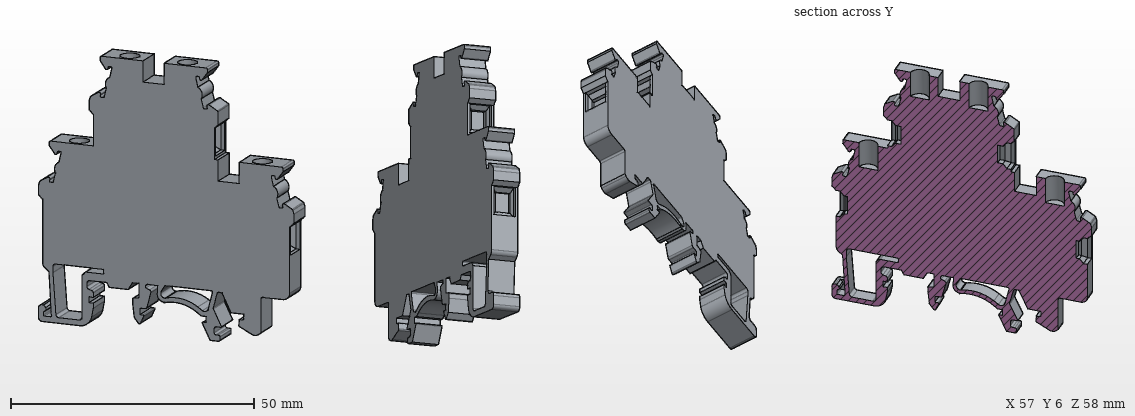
import cadquery as cq
import math

length = 57.0
height = 58.0
thickness = 6.0

lower_top = 38.7
foot_plane = 10.45
wall_half = 27.55
upper_wall_left = -16.25
upper_wall_right = 10.8
upper_tip_left = -14.75
upper_tip_right = 9.2
bulge_reach = 2.45
lower_tip_half = length / 2 - bulge_reach

slot_width = 4.7
slot_depth = 4.5
upper_slot_left = -5.15
lower_slot_left = 11.6

screw_diameter = 4.1
screw_depth = 5.8
screw_y = -0.375
lower_screw_x = 20.4
upper_screw_xs = (-9.15, 3.7)

holder_height = 12.65
mouth_width = 4.9
mouth_height = 6.1
mouth_depth = 0.85
funnel_depth = 0.85
funnel_inset = 1.0
throat_width = 3.3
throat_height = mouth_height - 2 * funnel_inset
lower_throat_length = 0.7
upper_throat_length = 1.15

hook_top = 3.6
web_thickness = 0.9


def rounded_outline(corners):
    """Closed XZ wire through corners (x, z) or (x, z, radius)."""
    count = len(corners)
    stops = []
    for i, corner in enumerate(corners):
        x, z = corner[:2]
        if len(corner) == 2:
            stops.append(((x, z), None, (x, z)))
            continue
        radius = corner[2]
        before = cq.Vector(*corners[i - 1][:2])
        after = cq.Vector(*corners[(i + 1) % count][:2])
        here = cq.Vector(x, z)
        to_before = (before - here).normalized()
        to_after = (after - here).normalized()
        half_angle = to_before.getAngle(to_after) / 2
        tangent_length = radius / math.tan(half_angle)
        middle_distance = radius / math.sin(half_angle) - radius
        start = here + to_before * tangent_length
        middle = here + (to_before + to_after).normalized() * middle_distance
        end = here + to_after * tangent_length
        stops.append(((start.x, start.y), (middle.x, middle.y), (end.x, end.y)))

    path = cq.Workplane("XZ").moveTo(*stops[0][2])
    for start, middle, end in stops[1:] + stops[:1]:
        path = path.lineTo(*start)
        if middle:
            path = path.threePointArc(middle, end)
    return path.wire()


def plate(corners, y_min=-thickness / 2, y_max=thickness / 2):
    """Slab with the given XZ outline between two Y positions."""
    return rounded_outline(corners).extrude(y_max - y_min).translate((0, y_max, 0))


def terminal_edge(tip_x, top, inward, wall_x, shoulder):
    """Corners of a terminal's outer edge, from its lip down to the wall.

    `inward` is +1 on a left edge and -1 on a right edge; the shoulder and all
    other corners are given as (inward distance from the tip, height above top).
    """
    reach = -shoulder[-1][0]
    wall_inset = inward * (wall_x - tip_x)
    corners = [
        (0, 0, 0.35),
        (0, -1.0),
        (1.55, -3.15, 0.3),
        (1.85, -2.05, 0.2),
        (2.65, -2.05, 0.25),
        (2.15, -4.3),
        (0.6, -5.15, 1.75),
        (1.4, -6.7),
        (0.85, -8.75, 0.25),
        (-0.05, -8.75, 0.25),
        (0.495, -7.3, 0.36),
        *shoulder,
        (-reach, wall_inset + reach - holder_height),
        (wall_inset, -holder_height),
    ]
    return [(tip_x + inward * c[0], top + c[1], *c[2:]) for c in corners]


faceted_shoulder = [(-2.15, -8.8, 0.35), (-bulge_reach, -9.75)]
square_shoulder = [(-2.3, -8.95, 0.25)]


def slot_corners(left, top):
    """Corners of a marker slot, left to right."""
    right = left + slot_width
    bottom = top - slot_depth
    return [(left, top), (left, bottom), (right, bottom), (right, top)]


upper_left_edge = terminal_edge(upper_tip_left, height, 1, upper_wall_left, faceted_shoulder)
upper_right_edge = terminal_edge(upper_tip_right, height, -1, upper_wall_right, square_shoulder)
lower_left_edge = terminal_edge(-lower_tip_half, lower_top, 1, -wall_half, faceted_shoulder)
lower_right_edge = terminal_edge(lower_tip_half, lower_top, -1, wall_half, faceted_shoulder)

hook_foot = [
    (-wall_half, 11.95, 1.3),
    (-26.15, 10.8),
    (-25.6, 1.2, 0.25),
    (-27.3, 1.2, 0.2),
    (-27.3, 2.1),
    (-26.7, 2.6),
    (-26.85, 3.1),
    (-27.3, hook_top),
    (-length / 2, hook_top, 0.8),
    (-length / 2, 0, 0.9),
    (-17.05, 0, 2.65),
    (-16.25, 4.05),
    (-16.25, 5.15),
    (-17.2, 5.15),
    (-17.2, 6.4),
    (-16.25, 6.4),
    (-16.25, 7.7, 0.45),
    (-17.65, 8.1, 0.6),
    (-17.65, 9.85, 0.6),
    (-13.2, 9.85),
    (-12.7, 8.9),
    (-8.45, 8.9),
    (-7.55, foot_plane),
]
middle_claw = [
    (-6.1, foot_plane),
    (-6.1, 7.35, 0.2),
    (-7.5, 7.2, 0.25),
    (-7.5, 6.05),
    (-7.15, 3.15),
    (-5.9, 1.55, 0.3),
    (-4.9, 3.8, 0.2),
    (-5.85, 3.8),
    (-5.85, 5.15, 0.25),
    (-4.35, 5.2, 0.45),
    (-3.3, 9.15, 0.45),
    (-4.7, 9.75, 0.25),
    (-4.4, foot_plane, 0.25),
]
spring_claw = [
    (-1.85, foot_plane),
    (-2.15, 6.45, 1.6),
    (3.6, 8.05, 8.7),
    (7.85, 5.0),
    (8.9, 5.0),
    (8.9, 3.75),
    (7.95, 3.7, 0.2),
    (9.8, 0),
    (12.0, 0, 0.35),
    (12.0, 1.35, 0.35),
    (10.75, 1.35, 0.4),
    (10.75, 3.0, 0.4),
    (12.4, 3.1, 0.1),
    (10.5, 6.9, 0.25),
    (11.4, foot_plane, 0.4),
]
fixed_foot = [
    (12.45, foot_plane),
    (14.45, 6.4),
    (17.3, 6.4),
    (17.3, 5.15, 0.3),
    (16.3, 5.15),
    (16.2, 3.7, 0.35),
    (20.0, 1.85, 1.4),
    (21.1, 2.85),
    (21.1, foot_plane, 0.4),
    (wall_half, foot_plane, 1.5),
]

hook_window = [
    (-25.25, 12.6, 0.6),
    (-13.9, 12.6, 0.2),
    (-13.9, 11.6, 0.2),
    (-18.1, 11.6, 0.7),
    (-18.8, 10.8),
    (-18.8, 1.2, 0.65),
    (-24.55, 1.2, 0.65),
    (-25.25, 10.7),
]
spring_window = [
    (-0.3, 10.6, 0.2),
    (10.4, 10.6, 0.25),
    (9.1, 5.5, 0.85),
    (3.65, 9.1, 8.7),
    (-1.45, 7.55, 0.85),
    (-1.1, 9.3, 0.6),
]

hook_web = [
    (-27.6, hook_top),
    (-26.2, hook_top),
    (-25.75, 4.3),
    (-25.4, 4.3),
    (-25.4, 1.05),
    (-27.6, 1.05),
]


def screw_hole(x, top):
    """Cutter for a blind screw hole going down from a top face."""
    cutter = cq.Workplane("XY").circle(screw_diameter / 2).extrude(-screw_depth)
    return cutter.translate((x, screw_y, top))


def wire_entry(wall_x, top, inward, throat_length):
    """Cutter for a wire entry whose upper edge meets the bottom of the label holder."""
    mouth_plane = cq.Plane(
        origin=(wall_x, 0, top - holder_height - mouth_height / 2),
        xDir=(0, 1, 0),
        normal=(inward, 0, 0),
    )
    mouth = cq.Workplane(mouth_plane).rect(mouth_width, mouth_height).extrude(mouth_depth)
    funnel = (
        cq.Workplane(mouth_plane)
        .workplane(offset=mouth_depth)
        .rect(mouth_width, mouth_height)
        .workplane(offset=funnel_depth)
        .center(screw_y, 0)
        .rect(throat_width, throat_height)
        .loft(ruled=True)
    )
    throat = (
        cq.Workplane(mouth_plane)
        .workplane(offset=mouth_depth + funnel_depth)
        .center(screw_y, 0)
        .rect(throat_width, throat_height)
        .extrude(throat_length)
    )
    return mouth.union(funnel).union(throat)


outline = (
    [(upper_wall_left, lower_top)]
    + upper_left_edge[::-1]
    + slot_corners(upper_slot_left, height)
    + upper_right_edge
    + [(upper_wall_right, lower_top)]
    + slot_corners(lower_slot_left, lower_top)
    + lower_right_edge
    + fixed_foot[::-1]
    + spring_claw[::-1]
    + middle_claw[::-1]
    + hook_foot[::-1]
    + lower_left_edge[::-1]
)

result = plate(outline)
result = result.cut(plate(hook_window)).cut(plate(spring_window))
result = result.union(plate(hook_web, y_min=thickness / 2 - web_thickness))

for screw_x in upper_screw_xs:
    result = result.cut(screw_hole(screw_x, height))
for screw_x in (-lower_screw_x, lower_screw_x):
    result = result.cut(screw_hole(screw_x, lower_top))

for wall_x, top, inward, throat_length in (
    (upper_wall_left, height, 1, upper_throat_length),
    (upper_wall_right, height, -1, upper_throat_length),
    (-wall_half, lower_top, 1, lower_throat_length),
    (wall_half, lower_top, -1, lower_throat_length),
):
    result = result.cut(wire_entry(wall_x, top, inward, throat_length))